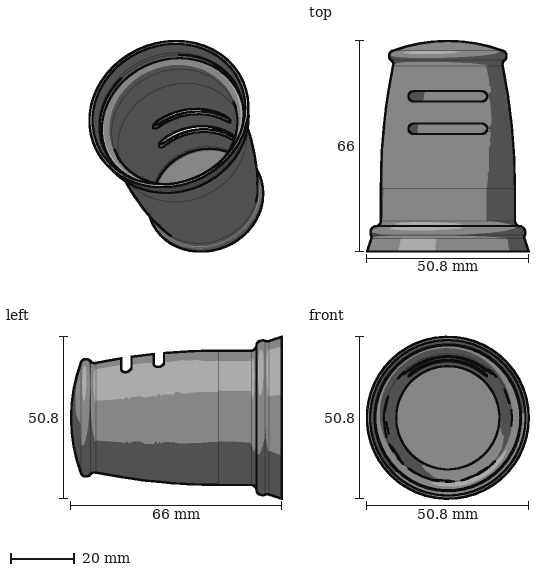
import cadquery as cq
import math

length = 66.05
wall = 1.0

lip_radius = 50.8 / 2
lip_length = 4.1
lip_neck_radius = 24.05
lip_groove_middle = 4.7
lip_groove_radius = 24.0

shoulder_start = 5.2
shoulder_start_radius = 24.2
shoulder_middle = 6.7
shoulder_middle_radius = 24.2
shoulder_end = 8.0
shoulder_end_radius = 22.9

sleeve_radius = 21.05
sleeve_start = 9.6
cove_radius = 1.65
sleeve_end = 19.8
taper_end = 58.2
taper_radius = 17.25

neck_radius = 17.25
neck_bottom = 59.25
bead_start = 59.95
bead_start_radius = 17.75
bead_middle = 61.55
bead_radius = 18.4
dome_start = 62.95
dome_edge_radius = 17.3

slot_length = 24.6
slot_width = 3.2
slot_floor = 6.6
slot_centers = [38.5, 48.7]


def arc_middle(start, end, radius, side):
    """Point halfway along an arc; side is +1 to bulge left of travel, -1 right."""
    chord_x = end[0] - start[0]
    chord_y = end[1] - start[1]
    chord = math.hypot(chord_x, chord_y)
    sag = radius - math.sqrt(radius**2 - (chord / 2) ** 2)
    return (
        (start[0] + end[0]) / 2 - side * sag * chord_y / chord,
        (start[1] + end[1]) / 2 + side * sag * chord_x / chord,
    )


def outer_body():
    """Solid of the outside shape, without the hollow."""
    lip_neck = (lip_neck_radius, lip_length)
    shoulder_edge = (shoulder_start_radius, shoulder_start)
    shoulder_back = (shoulder_end_radius, shoulder_end)
    sleeve_edge = (sleeve_radius, sleeve_start)
    taper_start = (sleeve_radius, sleeve_end)
    taper_tip = (taper_radius, taper_end)
    dome_edge = (dome_edge_radius, dome_start)
    apex = (0, length)
    dome_height = length - dome_start
    dome_radius = (dome_edge_radius**2 + dome_height**2) / (2 * dome_height)
    profile = (
        cq.Workplane("XY")
        .lineTo(lip_radius, 0)
        .lineTo(*lip_neck)
        .threePointArc((lip_groove_radius, lip_groove_middle), shoulder_edge)
        .threePointArc((shoulder_middle_radius, shoulder_middle), shoulder_back)
        .threePointArc(arc_middle(shoulder_back, sleeve_edge, cove_radius, 1), sleeve_edge)
        .lineTo(*taper_start)
        .tangentArcPoint(taper_tip, relative=False)
        .threePointArc((neck_radius, neck_bottom), (bead_start_radius, bead_start))
        .threePointArc((bead_radius, bead_middle), dome_edge)
        .threePointArc(arc_middle(dome_edge, apex, dome_radius, -1), apex)
        .close()
    )
    return profile.revolve(360, (0, 0, 0), (0, 1, 0))


def vent_slot(center):
    """Cutter for one vent, running from inside the hollow out through the +Z side."""
    return (
        cq.Workplane("XY", origin=(0, center, slot_floor))
        .slot2D(slot_length, slot_width)
        .extrude(lip_radius - slot_floor)
    )


result = outer_body().faces("<Y").shell(-wall)
for slot_center in slot_centers:
    result = result.cut(vent_slot(slot_center))